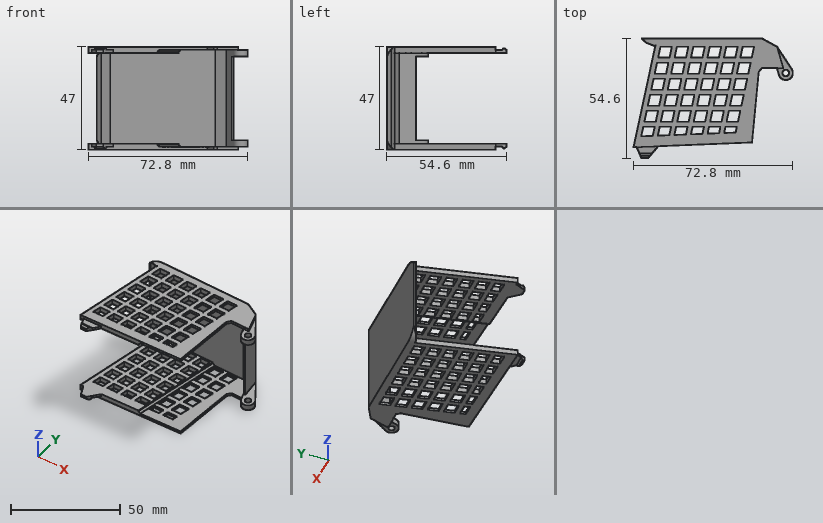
import cadquery as cq
import math


length = 72.75
depth = 54.6
height = 47.0
top = height / 2

plate_front_y = -49.6
plate_right_front = (54.1, -47.45)
plate_right_back = (57.2, -15.2)
notch_start_x = 58.65
notch_y = -13.45
plate_tip_x = 68.3
thick = 2.85
thin = 1.4
step_offset = 31.1
step_land = 0.45
step_slope = thick - thin - step_land

wall = 3.0
lip_foot = (9.9, -3.6)
lip_tip_x = 3.7
lip_corner = (6.0, -2.05)
bevel_start = (58.7, 0.0)
bevel_end = (65.5, -3.7)
inner_bend_x = 57.9
wing_bend = (62.9, -5.6)
wing_end_y = -13.3
wing_end_width = 1.0

lip_radius = 7.8
lip_round_start_x = 11.4

lug_radius = 3.3
lug_hole_radius = 1.45
lug_center = (length - lug_radius, -15.7)
lug_height = 3.05

columns = 6
rows = 6
window_width = 5.1
window_height = 4.9
column_pitch = 7.5
rows_span = 36.5
row_pitch = rows_span / (rows - 1)
window_margin = 2.55
window_start_y = -3.8
front_rim = 4.95

clip_base = (1.45, 11.3)
clip_tip = (3.65, 6.7)
clip_thick = 1.4
barb_start_y = -52.4
barb_rise = 0.9
barb_crest = 0.3

left_slope = lip_foot[0] / (lip_foot[1] - plate_front_y)
front_slope = (plate_right_front[1] - plate_front_y) / plate_right_front[0]


def left_x(y):
    """X of the plates' slanted left edge at a given Y."""
    return (y - plate_front_y) * left_slope


def front_y(x):
    """Y of the plates' slanted front edge at a given X."""
    return plate_front_y + x * front_slope


def prism(points, z_low, z_high):
    """Upright prism over a closed outline."""
    return cq.Workplane("XY").workplane(offset=z_low).polyline(points).close().extrude(z_high - z_low)


def lug_tangent(point, side):
    """Point where a line from an outside point touches the lug circle; side is +1 or -1."""
    dx = point[0] - lug_center[0]
    dy = point[1] - lug_center[1]
    angle = math.atan2(dy, dx) + side * math.acos(lug_radius / math.hypot(dx, dy))
    return (lug_center[0] + lug_radius * math.cos(angle), lug_center[1] + lug_radius * math.sin(angle))


inner_tangent = lug_tangent(wing_bend, 1)
outer_tangent = lug_tangent(bevel_end, -1)
wing_slope = (inner_tangent[0] - wing_bend[0]) / (inner_tangent[1] - wing_bend[1])
wing_end_x = wing_bend[0] + (wing_end_y - wing_bend[1]) * wing_slope


def back_wall():
    """Wall with a bevelled lip on the left and a bent, tapering wing on the right."""
    outline = [
        (lip_tip_x, 0),
        bevel_start,
        bevel_end,
        (wing_end_x + wing_end_width, wing_end_y),
        (wing_end_x, wing_end_y),
        wing_bend,
        (inner_bend_x, -wall),
        (left_x(-wall), -wall),
        lip_foot,
        lip_corner,
    ]
    body = prism(outline, -top, top)

    axis = cq.Vector(lip_round_start_x - lip_foot[0], -lip_foot[1], 0).normalized()
    across = cq.Vector(axis.y, -axis.x, 0)
    start = cq.Plane(origin=(lip_round_start_x, 0, 0), xDir=across, normal=axis)
    envelope = (
        cq.Workplane(start)
        .center(length / 2 - lip_radius, 0)
        .rect(length, height)
        .extrude(depth, both=True)
        .edges(cq.selectors.ParallelDirSelector(axis))
        .fillet(lip_radius)
    )
    return body.intersect(envelope)


def plate():
    """Upper side plate, thinned to the right of a sloped step."""
    outline = [
        (0, plate_front_y),
        plate_right_front,
        plate_right_back,
        (notch_start_x, notch_y),
        (plate_tip_x, notch_y),
        bevel_end,
        bevel_start,
        (lip_round_start_x, 0),
        lip_foot,
    ]
    body = prism(outline, top - thick, top)

    thick_z = top - thick
    land_z = thick_z + step_land
    step_x = left_x(-depth) + step_offset
    relief_profile = [
        (step_x, thick_z),
        (step_x, land_z),
        (step_x + step_slope, top - thin),
        (length, top - thin),
        (length, thick_z),
    ]
    points = [cq.Vector(x, -depth, z) for x, z in relief_profile]
    face = cq.Face.makeFromWires(cq.Wire.makePolygon(points, close=True))
    relief = cq.Solid.extrudeLinear(face, cq.Vector(depth * left_slope, depth, 0))
    return body.cut(cq.Workplane(obj=relief))


def windows():
    """List of parallelogram openings, the last row trimmed parallel to the front edge."""
    cutters = []
    for row in range(rows):
        back = window_start_y - row * row_pitch
        for column in range(columns):
            offset = window_margin + column * column_pitch
            front = back - window_height
            left = left_x(front) + offset
            right = left + window_width
            front_left = max(front, front_y(left) + front_rim)
            front_right = max(front, front_y(right) + front_rim)
            outline = [
                (left_x(back) + offset, back),
                (left_x(back) + offset + window_width, back),
                (left_x(front_right) + offset + window_width, front_right),
                (left_x(front_left) + offset, front_left),
            ]
            cutters.append(prism(outline, top - thick, top))
    return cutters


def lug():
    """Hinge lug just under the upper plate, running tangentially off the wing."""
    bottom_point = (lug_center[0], lug_center[1] - lug_radius)
    return (
        cq.Workplane("XY")
        .workplane(offset=top - thin - lug_height)
        .moveTo(*wing_bend)
        .lineTo(*inner_tangent)
        .threePointArc(bottom_point, outer_tangent)
        .lineTo(*bevel_end)
        .close()
        .moveTo(*lug_center)
        .circle(lug_hole_radius)
        .extrude(lug_height)
    )


def clip():
    """Snap clip with a barb on its outer side, tapered in plan."""
    low = top - thick
    high = low + clip_thick
    barb_top = high + barb_rise
    root_y = front_y(clip_base[1])
    side = [
        (root_y, low),
        (root_y, high),
        (barb_start_y, high),
        (barb_start_y - barb_rise, barb_top),
        (barb_start_y - barb_rise - barb_crest, barb_top),
        (-depth, high),
        (-depth, low),
    ]
    bar = cq.Workplane("YZ").polyline(side).close().extrude(length)
    plan = [
        (clip_base[0], front_y(clip_base[0])),
        (clip_tip[0], -depth),
        (clip_tip[1], -depth),
        (clip_base[1], front_y(clip_base[1])),
    ]
    return bar.intersect(prism(plan, low, top))


upper = plate()
for window in windows():
    upper = upper.cut(window)
upper = upper.union(lug()).union(clip())
lower = upper.mirror("XY")
result = back_wall().union(upper).union(lower)